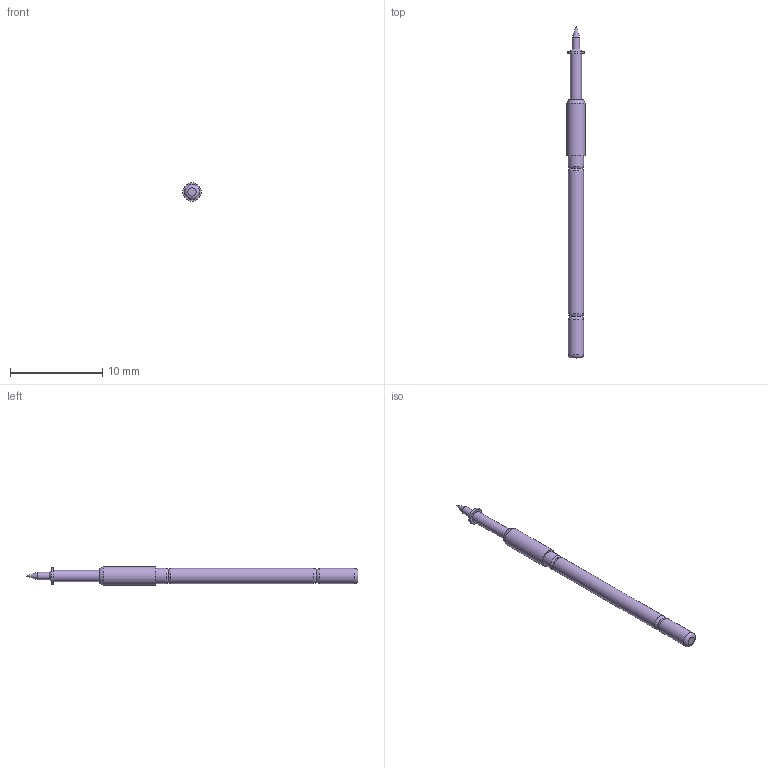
import cadquery as cq
import math

overall_length = 36.0

needle_diameter = 0.8
plunger_diameter = 1.2
flange_diameter = 1.8
flange_cone_diameter = 1.4
sleeve_diameter = 2.0
sleeve_nose_diameter = 1.65
barrel_diameter = 1.65

point_end_from_tip = 1.25
flange_cone_start_from_tip = 2.5
flange_start_from_tip = 2.75
flange_end_from_tip = 3.0
sleeve_nose_from_tip = 8.0
sleeve_nose_length = 0.4
sleeve_end_from_tip = 14.05

front_groove_center_from_tip = 15.45
front_groove_width = 0.45
groove_depth = 0.13
rear_groove_center_from_tip = 31.5
rear_groove_width = 0.7

tail_round_radius = 0.37


def along_axis(from_tip):
    """Y coordinate of a station measured back from the needle point."""
    return overall_length - from_tip


def make_needle_and_plunger():
    """Pointed needle, flange with its lead-in cone, and the plunger shaft behind it."""
    sleeve_face = along_axis(sleeve_nose_from_tip)
    return (
        cq.Workplane("XY")
        .moveTo(0, sleeve_face)
        .lineTo(plunger_diameter / 2, sleeve_face)
        .lineTo(plunger_diameter / 2, along_axis(flange_end_from_tip))
        .lineTo(flange_diameter / 2, along_axis(flange_end_from_tip))
        .lineTo(flange_diameter / 2, along_axis(flange_start_from_tip))
        .lineTo(flange_cone_diameter / 2, along_axis(flange_start_from_tip))
        .lineTo(needle_diameter / 2, along_axis(flange_cone_start_from_tip))
        .lineTo(needle_diameter / 2, along_axis(point_end_from_tip))
        .lineTo(0, overall_length)
        .close()
        .revolve(360, (0, 0, 0), (0, 1, 0))
    )


def make_sleeve():
    """Press-fit sleeve with a tapered nose toward the plunger."""
    rear = along_axis(sleeve_end_from_tip)
    nose = along_axis(sleeve_nose_from_tip)
    return (
        cq.Workplane("XY")
        .moveTo(0, rear)
        .lineTo(sleeve_diameter / 2, rear)
        .lineTo(sleeve_diameter / 2, nose - sleeve_nose_length)
        .lineTo(sleeve_nose_diameter / 2, nose)
        .lineTo(0, nose)
        .close()
        .revolve(360, (0, 0, 0), (0, 1, 0))
    )


def make_barrel():
    """Plain cylinder behind the sleeve with a rounded tail edge."""
    return (
        cq.Workplane("XZ")
        .circle(barrel_diameter / 2)
        .extrude(-along_axis(sleeve_end_from_tip))
        .faces("<Y")
        .edges()
        .fillet(tail_round_radius)
    )


def make_groove_cutter(center_from_tip, width):
    """Ring that cuts a crimp groove whose walls curve in from the barrel to a sharp root.

    Each wall is a convex arc that leaves the barrel surface tangentially.
    """
    center = along_axis(center_from_tip)
    surface = barrel_diameter / 2
    half_width = width / 2
    wall_radius = (half_width**2 + groove_depth**2) / (2 * groove_depth)
    half_angle = math.asin(half_width / wall_radius) / 2
    mid_inset = half_width - wall_radius * math.sin(half_angle)
    mid_radius = surface - wall_radius * (1 - math.cos(half_angle))
    return (
        cq.Workplane("XY")
        .moveTo(surface, center - half_width)
        .threePointArc((mid_radius, center - mid_inset), (surface - groove_depth, center))
        .threePointArc((mid_radius, center + mid_inset), (surface, center + half_width))
        .close()
        .revolve(360, (0, 0, 0), (0, 1, 0))
    )


result = (
    make_barrel()
    .cut(make_groove_cutter(front_groove_center_from_tip, front_groove_width))
    .cut(make_groove_cutter(rear_groove_center_from_tip, rear_groove_width))
    .union(make_sleeve())
    .union(make_needle_and_plunger())
)